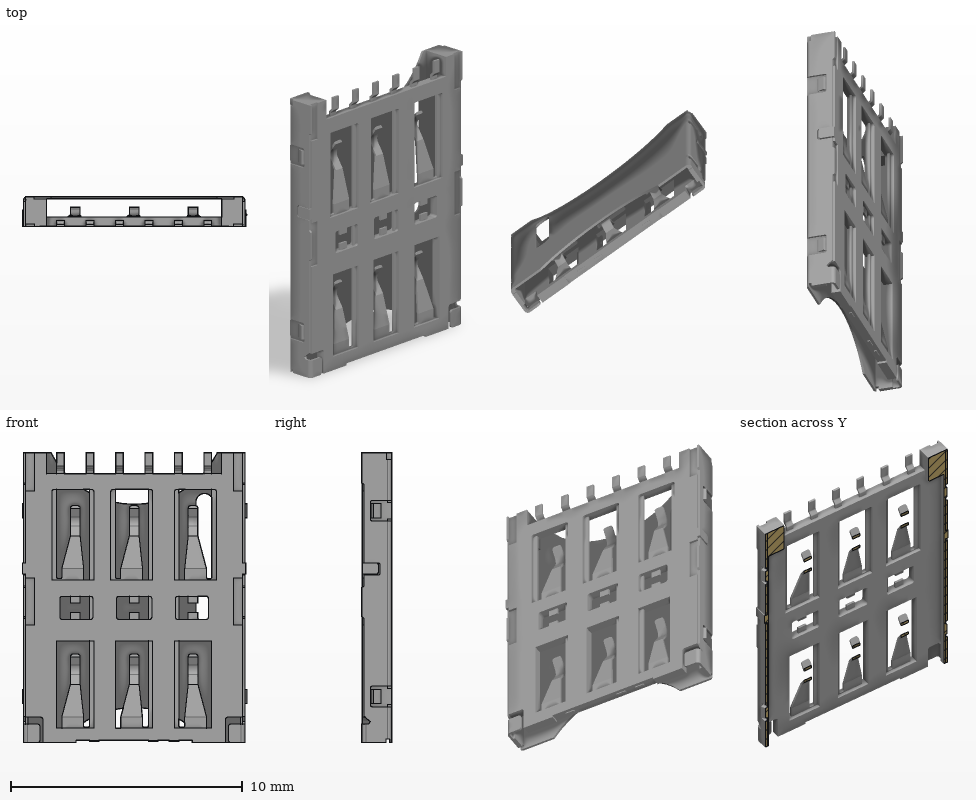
import cadquery as cq
import math


length = 12.5
height = 1.3
sheet = 0.1
cover_half_width = 4.78
cover_bend = 0.18
inner_half_width = cover_half_width - sheet
inner_bend = cover_bend - sheet
roof_inside = height - sheet

face_y = 0.02
plate_back = 0.42
rail_width = 0.1
plate_top = 11.6
block_bottom = 11.1
block_inside = 3.77
peg_inside = 4.31
peg_bottom = 12.21
peg_front = 1.08
foot_notch_half = 2.5
foot_notch_depth = 0.095
step_inside = 4.29
step_depth = 0.1
step_ranges = [(5.08, 7.09), (10.84, length)]

column_pitch = 2.54
window_half = 0.8
lead_side_half = 1.01
upper_window = (7.02, 10.92)
middle_window = (5.31, 6.31)
lower_window = (0.62, 4.39)
middle_half = 0.76
middle_narrow_half = 0.66
window_round = 0.1

latch_centres = [1.99, 10.0]
latch_opening_length = 0.9
latch_opening_front = 0.37
latch_opening_round = 0.1
latch_boss_length = 0.7
bump_length = 0.62
bump_reach = {-1: 4.82, 1: 4.87}
bump_profile_y = (0.4, 0.5, 0.83)
clip_range = (7.26, 7.75)
clip_half_width = 4.82
clip_back = 0.72
clip_round = 0.1
clip_gap = (0.08, 0.04)
wall_edge = 0.1
wall_edge_slope = 0.07
low_wall_ranges = [(1.0, 5.43), (6.68, 11.2)]

corner_notch_inside = 3.93
corner_notch_top = 1.1
tab_inside = 4.06
tab_top = 0.8
tab_round = 0.12
relief_points = [(0, tab_top), (0.3, tab_top), (0.37, 0.9), (0.1, 1.13), (0, 1.13)]
slit_front = 1.05
slit_height = 0.15
slit_inside = 4.3

roof_arc_radius = 4.0
top_arc_bottom = 10.28
bottom_arc_top = 1.51
slot_x = 3.03
slot_width = 0.72
slot_range = (5.22, 10.74)

sheet_front = 0.16
sheet_back = sheet_front + sheet
lead_width = 0.42
upper_lead_edge = -0.8
lower_lead_edge = 0.61
lead_foot = 0.05
link_bottom = 10.95
link_top = 11.4
cross_height = 0.45
cross_overlap = 0.05
inner_round = 0.06
tail_offset = 0.635
tail_width = 0.34
tail_jog = (11.82, 11.97)
jog_round = 0.06
finger_base = (-0.58, 0.36)
neck_half = 0.21
stub_reach = 0.3
stub_link_range = (4.6, 5.0)
finger_bend = 0.49
finger_neck = 1.89
finger_tip = 3.2
taper_rise = 0.25
neck_length = 0.37
neck_angle = 35
crest_radius = 0.45
tip_round = 0.12
tip_bevel = 0.13


def block(x0, x1, y0, y1, z0, z1):
    """Box between the given limits, in any order along X."""
    return cq.Workplane("XY").box(abs(x1 - x0), y1 - y0, z1 - z0, centered=False).translate(
        (min(x0, x1), y0, z0))


def channel(half_width, front, back, bend):
    """Full-length bar whose two rear edges are rounded."""
    bar = block(-half_width, half_width, front, back, 0, length)
    return bar.edges("|Z and >Y").fillet(bend)


def side_plate(points, x0, x1):
    """Outline in (y, z) extruded from x0 to x1."""
    plate = cq.Workplane("YZ").polyline(points).close().extrude(abs(x1 - x0))
    return plate.translate((min(x0, x1), 0, 0))


def disc(radius, centre_z):
    """Cylinder along Y through the cover roof."""
    return cq.Workplane("XZ").center(0, centre_z).circle(radius).extrude(-height)


def low_edge_cut(z0, z1):
    """Cut that lowers the wall edge between z0 and z1, with sloping ends."""
    return side_plate(
        [(0, z0), (wall_edge, z0 + wall_edge_slope), (wall_edge, z1 - wall_edge_slope), (0, z1)],
        -cover_half_width, cover_half_width)


def corner_tab(side):
    """Tab folded from the side wall over the lower corner of the housing."""
    outer = block(side * tab_inside, side * cover_half_width, 0, 2 * cover_bend, 0, tab_top)
    outer = outer.edges(f"|Z and <Y and {'>' if side > 0 else '<'}X").fillet(cover_bend)
    inner = block(side * (tab_inside - sheet), side * inner_half_width, sheet, height, 0, tab_top)
    inner = inner.edges(f"|Z and <Y and {'>' if side > 0 else '<'}X").fillet(inner_bend)
    return outer.cut(inner).edges(f"|Y and {'<' if side > 0 else '>'}X").fillet(tab_round)


def latch_opening(side, centre_z):
    """Side opening that runs through the bend of the cover."""
    half = latch_opening_length / 2
    opening = block(side * inner_half_width, side * cover_half_width, latch_opening_front, height,
                    centre_z - half, centre_z + half)
    return opening.edges("|X and <Y").fillet(latch_opening_round)


def latch_boss(side, centre_z):
    """Squared stretch of the housing rail that fills the opening in the bend."""
    half = latch_boss_length / 2
    return block(side * (inner_half_width - rail_width), side * inner_half_width,
                 plate_back, height, centre_z - half, centre_z + half)


def latch_bump(side, centre_z):
    """Wedge on the housing that stands out through the latch opening."""
    foot, crest, end = bump_profile_y
    wedge = (
        cq.Workplane("XY")
        .polyline([(side * inner_half_width, foot), (side * bump_reach[side], crest),
                   (side * inner_half_width, end)])
        .close()
        .extrude(bump_length)
    )
    return wedge.translate((0, 0, centre_z - bump_length / 2))


def side_block(side, reach, front, back, z_range):
    """Block standing out from the housing side, rounded at its rear corners."""
    body = block(side * inner_half_width, side * reach, front, back, *z_range)
    return body.edges("|X and >Y").fillet(clip_round)


def side_clip(side):
    """Block on the housing that stands out through a notch in the cover wall."""
    return side_block(side, clip_half_width, face_y, clip_back, clip_range)


def clip_notch(side):
    """Notch in the cover wall around the side clip."""
    z_range = (clip_range[0] - clip_gap[1], clip_range[1])
    return side_block(side, clip_half_width, 0, clip_back + clip_gap[0], z_range)


def peg(side):
    """Upper corner of the housing that fills the missing corner of the cover."""
    return block(side * peg_inside, side * inner_half_width, peg_front, height, peg_bottom, length)


def corner_slit(side):
    """Slit under the roof at the lower corner, through cover and housing."""
    return block(side * slit_inside, side * cover_half_width, slit_front, roof_inside, 0, slit_height)


def make_cover():
    cover = channel(cover_half_width, 0, height, cover_bend)
    cover = cover.cut(channel(inner_half_width, 0, roof_inside, inner_bend))
    for z0, z1 in low_wall_ranges:
        cover = cover.cut(low_edge_cut(z0, z1))
    for side in (-1, 1):
        cover = cover.cut(block(side * tab_inside, side * cover_half_width, 0, 2 * cover_bend, 0, tab_top))
        cover = cover.union(corner_tab(side))
        for centre_z in latch_centres:
            cover = cover.cut(latch_opening(side, centre_z)).cut(latch_boss(side, centre_z))
        cover = cover.cut(clip_notch(side)).cut(corner_slit(side))
        cover = cover.cut(block(side * peg_inside, side * cover_half_width, peg_front, height,
                                peg_bottom, length))
    cover = cover.cut(side_plate(relief_points, -cover_half_width, cover_half_width))
    cover = cover.cut(disc(roof_arc_radius, top_arc_bottom + roof_arc_radius))
    cover = cover.cut(disc(roof_arc_radius, bottom_arc_top - roof_arc_radius))
    slot_length = slot_range[1] - slot_range[0]
    slot = (
        cq.Workplane("XZ")
        .center(slot_x, sum(slot_range) / 2)
        .slot2D(slot_length, slot_width, 90)
        .extrude(-height)
    )
    return cover.cut(slot)


def finger(base_z):
    """Spring finger that climbs to a rounded crest and dips again at its tip."""
    angle = math.radians(neck_angle)
    across = (math.sin(angle) * sheet, math.cos(angle) * sheet)
    bend_z = base_z + finger_bend
    neck_z = base_z + finger_neck
    arc_z = neck_z + neck_length
    neck_back = sheet_back + taper_rise
    arc_back = neck_back + neck_length * math.tan(angle)
    crest_z = arc_z + crest_radius * math.sin(angle)
    crest_back = arc_back + crest_radius * (1 - math.cos(angle))
    descent_z = 2 * crest_z - arc_z
    tip_z = base_z + finger_tip
    tip_back = arc_back - (tip_z - descent_z) * math.tan(angle)
    tip_front_z = tip_z - tip_bevel
    tip_front = tip_back - across[1] + (tip_bevel - across[0]) * math.tan(angle)
    profile = (
        cq.Workplane("YZ")
        .moveTo(sheet_back, base_z)
        .lineTo(sheet_back, bend_z)
        .lineTo(neck_back, neck_z)
        .lineTo(arc_back, arc_z)
        .threePointArc((crest_back, crest_z), (arc_back, descent_z))
        .lineTo(tip_back, tip_z)
        .lineTo(tip_front, tip_front_z)
        .lineTo(arc_back - across[1], descent_z - across[0])
        .threePointArc((crest_back - sheet, crest_z), (arc_back - across[1], arc_z + across[0]))
        .lineTo(neck_back - sheet, neck_z)
        .lineTo(sheet_front, bend_z)
        .lineTo(sheet_front, base_z)
        .close()
        .extrude(column_pitch / 2, both=True)
    )
    outline = (
        cq.Workplane("XZ")
        .polyline([(finger_base[0], base_z), (finger_base[1], base_z), (finger_base[1], bend_z),
                   (neck_half, neck_z), (neck_half, tip_z), (-neck_half, tip_z),
                   (-neck_half, neck_z), (finger_base[0], bend_z)])
        .close()
        .extrude(-height)
        .edges("|Y and >Z")
        .fillet(tip_round)
    )
    return profile.intersect(outline)


def strip(x0, x1, z0, z1):
    """Flat piece of contact sheet."""
    return block(x0, x1, sheet_front, sheet_back, z0, z1)


def solder_tail(centre_x):
    """Tail that leaves the housing and jogs forward to the mounting plane."""
    jog_start, jog_end = tail_jog
    points = [(sheet_front, link_bottom), (sheet_back, link_bottom), (sheet_back, jog_start),
              (sheet, jog_end), (sheet, length), (0, length), (0, jog_end - sheet / 2),
              (sheet_front, jog_start - sheet / 2)]
    tail = side_plate(points, centre_x - tail_width / 2, centre_x + tail_width / 2)
    bends = cq.selectors.BoxSelector(
        (-cover_half_width, 0, plate_top), (cover_half_width, height, length - sheet))
    return tail.edges("|X").edges(bends).fillet(jog_round)


def contact(window_bottom, lead_edge, lead_bottom, stub):
    """Contact about x = 0: finger, lead beside the window, solder tail and cut-off stub."""
    lead_sign = math.copysign(1, lead_edge)
    lead_outer = lead_edge + lead_sign * lead_width
    base_side = finger_base[1] if lead_sign > 0 else finger_base[0]
    base_far = finger_base[0] if lead_sign > 0 else finger_base[1]
    base_top = window_bottom + finger_bend
    gap = strip(base_side, lead_edge, window_bottom + cross_overlap, base_top)
    gap = gap.edges("|Y and <Z").fillet(inner_round)
    flat = strip(lead_outer, base_far, window_bottom - cross_height, base_top).cut(gap)
    flat = flat.union(strip(lead_edge, lead_outer, lead_bottom, link_top))
    tail_x = lead_sign * tail_offset
    flat = flat.union(strip(tail_x - lead_sign * tail_width / 2, lead_outer, link_bottom, link_top))
    return flat.union(solder_tail(tail_x)).union(finger(window_bottom)).union(stub)


def upper_contact():
    bottom = upper_window[0] - cross_height
    stub = strip(-neck_half, neck_half, middle_window[1] - stub_reach, upper_window[0])
    return contact(upper_window[0], upper_lead_edge, bottom, stub)


def lower_contact():
    stub = strip(-neck_half, neck_half, stub_link_range[0], middle_window[0] + stub_reach)
    stub = stub.union(strip(-neck_half, lower_lead_edge + lead_width, *stub_link_range))
    return contact(lower_window[0], lower_lead_edge, lead_foot, stub)


def place(shape, column):
    """Move a contact to its column; the right-hand column is mirrored."""
    if column > 0:
        shape = shape.mirror("YZ")
    return shape.translate((column * column_pitch, 0, 0))


def window(x0, x1, z_range, rounded):
    opening = block(x0, x1, face_y, plate_back, *z_range)
    return opening.edges(rounded).fillet(window_round)


def column_windows(column):
    """The three windows of one contact column."""
    narrow = middle_half if column == 0 else middle_narrow_half
    upper = window(-lead_side_half, window_half, upper_window, "|Y and >Z")
    middle = window(-narrow, middle_half, middle_window, "|Y")
    lower = block(-window_half, window_half, face_y, plate_back, *lower_window)
    return place(upper.union(middle).union(lower), column)


def make_housing(contacts):
    body = channel(inner_half_width, face_y, roof_inside, inner_bend)
    rail_inside = inner_half_width - rail_width
    body = body.cut(block(-rail_inside, rail_inside, plate_back, height, 0, block_bottom))
    body = body.cut(block(-block_inside, block_inside, plate_back, height, block_bottom, length))
    body = body.cut(block(-block_inside, block_inside, 0, height, plate_top, length))
    body = body.cut(block(-foot_notch_half, foot_notch_half, 0, height, 0, foot_notch_depth))
    for side in (-1, 1):
        for z0, z1 in step_ranges:
            body = body.cut(block(side * step_inside, side * inner_half_width,
                                  0, face_y + step_depth, z0, z1))
        notch = block(side * corner_notch_inside, side * cover_half_width, 0, plate_back, 0, corner_notch_top)
        inner_edge = "<X" if side > 0 else ">X"
        body = body.cut(notch.edges(f"|Y and >Z and {inner_edge}").fillet(tab_round))
        body = body.cut(corner_slit(side)).union(side_clip(side)).union(peg(side))
        for centre_z in latch_centres:
            body = body.union(latch_boss(side, centre_z)).union(latch_bump(side, centre_z))
    for column in (-1, 0, 1):
        body = body.cut(column_windows(column))
    for item in contacts:
        body = body.cut(item)
    return body


contacts = []
for column in (-1, 0, 1):
    contacts.append(place(upper_contact(), column))
    contacts.append(place(lower_contact(), column))
housing = make_housing(contacts)
cover = make_cover()
result = cq.Compound.makeCompound([housing.val(), cover.val(), *[item.val() for item in contacts]])